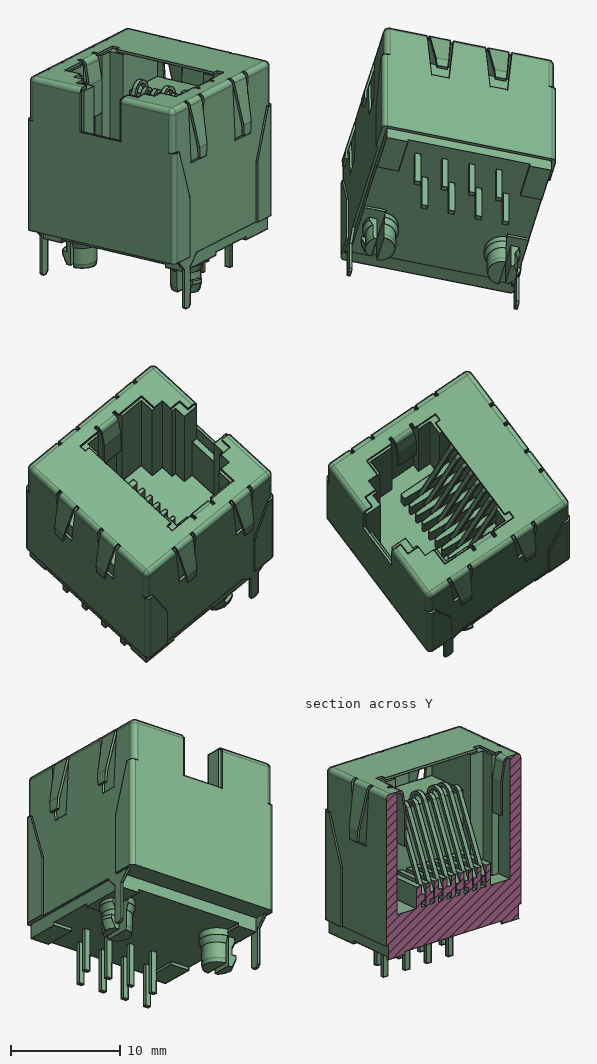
import cadquery as cq
import math


TOP = 20.3
SHIELD_BOTTOM = 5.3
SHIELD_WIDTH = 16.02
HALF = SHIELD_WIDTH / 2
BEND_RADIUS = 0.5
SHEET = 0.25
INNER_BEND_RADIUS = BEND_RADIUS - SHEET
SHEET_UNDERSIDE = TOP - SHEET
HOUSING_HALF = HALF - SHEET

WRAP_HALF = 8.2
WRAP_RADIUS = 0.43
WRAP_TOP = 16.05
WRAP_SHOULDER_Z = 11.15
WRAP_TOP_Y = 7.25
WRAP_EDGE_Y = 5.52

SPRING_REACH = 0.8
SPRING_BEND_Z = 15.87
SPRING_TIP_Z = 14.78
SPRING_ROOT_HALF = 1.0
SPRING_TIP_HALF = 0.5
SPRING_SLOT_BOTTOM = 14.3
SLOT_ROOT_HALF = 1.28
SLOT_TIP_HALF = 0.83
SIDE_SPRING_Y = (2.98, -4.2)
BACK_SPRING_X = 2.76

WINDOW_HALF = 2.25
LATCH_SLOT_FLOOR = 14.2
SILL_BACK_Y = -7.2
CAVITY_FLOOR = 8.12
CAVITY_HALF = 5.9
KEY_HALF = 1.97
POCKET_HALF = 4.45
POCKET_BACK_Y = 3.25
SHELF_Z = 16.22

GRIP_SLOT_HALF_WIDTH = 1.28
GRIP_HALF_WIDTH = 1.02
GRIP_POCKET_HALF_WIDTH = 1.48
GRIP_Y = -0.6
GRIP_SLOT_X = 6.68
GRIP_ROOT_X = 6.41
GRIP_BEND_X = 5.58
GRIP_BEND_Z = 17.97
GRIP_TIP_Z = 14.65

CONTACT_COUNT = 8
CONTACT_PITCH = 1.02
CONTACT_WIDTH = 0.43
CONTACT_THICKNESS = 0.3
LOW_ARCH_RADIUS = 0.65
HIGH_ARCH_RADIUS = 1.02
HIGH_CONTACTS = (0, 3, 5, 6)
HIGH_ARCH_Y = 3.61
CONTACT_ARCH_Z = 16.3
CONTACT_SLOPE = math.radians(65)
CONTACT_END_Y = -0.77
COMB_TOP = 10.25
COMB_FRONT_Y = -2.15
COMB_SLOT_HALF = 0.25
COMB_MOUTH_HALF = 0.35
COMB_TIP_RADIUS = 0.12

BASE_BOTTOM = 4.18
FOOT_BOTTOM = 3.88
FOOT_INNER_X = 5.75
BASE_FRONT_Y = -5.89
FOOT_SPANS_Y = ((4.25, HOUSING_HALF), (BASE_FRONT_Y, -0.6))
PIN_PITCH = 1.28
PIN_WIDTH = 0.55
PIN_DEPTH = 0.39
PIN_ROWS_Y = (3.74, 6.25)
TAB_Y = -5.65
TAB_HALF = 0.47
TAB_ROOT_HALF = 1.55
TAB_NECK_Z = 4.2
TAB_TIP_Z = 0.28
TAB_CHAMFER = 0.25

PEG_X = FOOT_INNER_X
PEG_Y = -2.6
PEG_RADIUS = 1.65
PEG_NECK_RADIUS = 1.4
PEG_TIP_RADIUS = 1.32
PEG_COLLAR_Z = 3.51
PEG_NECK_Z = 2.85
PEG_CHAMFER_Z = 1.28
PEG_BOTTOM = 0.87
PEG_SPLIT = 0.57
PEG_ARM_HALF = 1.02
HOOK_RADIUS = 1.77
HOOK_TOP = 2.13
HOOK_RIM_Z = 1.8


def block(x0, x1, y0, y1, z0, z1):
    """Box between two opposite corners."""
    return cq.Workplane("XY").box(x1 - x0, y1 - y0, z1 - z0, centered=False).translate((x0, y0, z0))


def mirrored(points):
    """Close a half outline with its mirror image in the first coordinate."""
    return points + [(-x, y) for x, y in reversed(points)]


def prism(points, z0, z1):
    """Extrude an XY outline between two heights."""
    return cq.Workplane("XY").workplane(offset=z0).polyline(points).close().extrude(z1 - z0)


def both_sides(solid):
    """Add the mirror image on the other side of X = 0."""
    return solid.union(solid.mirror("YZ"))


def make_shield():
    """Rounded shield block with wraps around its four vertical corners."""
    height = TOP - SHIELD_BOTTOM
    shell = cq.Workplane("XY").box(SHIELD_WIDTH, SHIELD_WIDTH, height, centered=(True, True, False))
    shell = shell.edges("|Z or >Z").fillet(BEND_RADIUS).translate((0, 0, SHIELD_BOTTOM))
    wraps = cq.Workplane("XY").box(2 * WRAP_HALF, SHIELD_WIDTH, height, centered=(True, True, False))
    wraps = wraps.edges("|Z").fillet(WRAP_RADIUS).translate((0, 0, SHIELD_BOTTOM))
    front_outline = [
        (-HALF, SHIELD_BOTTOM),
        (-HALF, WRAP_TOP),
        (-WRAP_TOP_Y, WRAP_TOP),
        (-WRAP_EDGE_Y, WRAP_SHOULDER_Z),
        (-WRAP_EDGE_Y, SHIELD_BOTTOM),
    ]
    front = cq.Workplane("YZ").polyline(front_outline).close().extrude(WRAP_HALF, both=True)
    return shell.union(wraps.intersect(front.union(front.mirror("XZ"))))


def spring_taper(root_half, tip_half, tip_z):
    """Tapered slab, wide at the top, that trims a spring or its slot; it reaches out along +X."""
    inner_x = HALF - BEND_RADIUS
    outline = mirrored([(root_half, TOP), (tip_half, tip_z)])
    slab = cq.Workplane("YZ").workplane(offset=inner_x).polyline(outline).close()
    return slab.extrude(BEND_RADIUS + SPRING_REACH)


def make_spring():
    """Spring flaring out along +X from the rounded top edge, with a vertical tip."""
    centre_x = HALF - BEND_RADIUS
    centre_z = TOP - BEND_RADIUS
    outer_x = HALF + SPRING_REACH
    run = outer_x - centre_x
    drop = SPRING_BEND_Z - centre_z
    flare = math.atan2(drop, run) + math.acos(BEND_RADIUS / math.hypot(run, drop))
    middle = (math.pi / 2 + flare) / 2

    def on_bend(radius, angle):
        return (centre_x + radius * math.cos(angle), centre_z + radius * math.sin(angle))

    spring = (
        cq.Workplane("XZ")
        .moveTo(centre_x, TOP)
        .threePointArc(on_bend(BEND_RADIUS, middle), on_bend(BEND_RADIUS, flare))
        .lineTo(outer_x, SPRING_BEND_Z)
        .lineTo(outer_x, SPRING_TIP_Z)
        .lineTo(outer_x - SHEET, SPRING_TIP_Z)
        .lineTo(outer_x - SHEET, SPRING_BEND_Z)
        .lineTo(*on_bend(INNER_BEND_RADIUS, flare))
        .threePointArc(on_bend(INNER_BEND_RADIUS, middle), (centre_x, SHEET_UNDERSIDE))
        .close()
        .extrude(SPRING_ROOT_HALF, both=True)
    )
    return spring.intersect(spring_taper(SPRING_ROOT_HALF, SPRING_TIP_HALF, SPRING_TIP_Z))


def add_springs(body):
    """Cut the spring slots down to the housing and set a spring in each of them."""
    core = block(-HOUSING_HALF, HOUSING_HALF, -HOUSING_HALF, HOUSING_HALF, SHIELD_BOTTOM, SHEET_UNDERSIDE)
    core = core.edges(">Z").fillet(INNER_BEND_RADIUS)
    slot = spring_taper(SLOT_ROOT_HALF, SLOT_TIP_HALF, SPRING_SLOT_BOTTOM).cut(core)
    spring = make_spring()
    places = [(0, y) for y in SIDE_SPRING_Y]
    places += [(180, -y) for y in SIDE_SPRING_Y]
    places += [(90, -BACK_SPRING_X), (90, BACK_SPRING_X)]
    for angle, offset in places:
        placed_slot = slot.translate((0, offset, 0)).rotate((0, 0, 0), (0, 0, 1), angle)
        placed_spring = spring.translate((0, offset, 0)).rotate((0, 0, 0), (0, 0, 1), angle)
        body = body.cut(placed_slot).union(placed_spring)
    return body


def cut_mouth(body):
    """Open the top panel, the plug cavity, the front window and the grip pockets."""
    panel_opening = mirrored([
        (5.45, 2.48), (5.45, 2.96), (6.15, 2.96), (6.15, -4.77), (POCKET_HALF, -4.77),
        (POCKET_HALF, -5.79), (3.37, -5.79), (3.37, -6.95), (WINDOW_HALF, -6.95), (WINDOW_HALF, -HALF),
    ])
    cavity = mirrored([
        (POCKET_HALF, POCKET_BACK_Y), (POCKET_HALF, 2.2), (CAVITY_HALF, 2.2), (CAVITY_HALF, -4.5),
        (POCKET_HALF, -4.5), (POCKET_HALF, -5.79), (3.15, -5.79), (3.15, -6.21),
        (KEY_HALF, -6.21), (KEY_HALF, SILL_BACK_Y),
    ])
    body = body.cut(prism(cavity, CAVITY_FLOOR, SHEET_UNDERSIDE))
    body = body.cut(prism(panel_opening, SHEET_UNDERSIDE, TOP))
    loft = block(-POCKET_HALF, POCKET_HALF, 0, HOUSING_HALF, SHELF_Z, SHEET_UNDERSIDE)
    body = body.cut(loft.edges(">Y and >Z").fillet(INNER_BEND_RADIUS))
    body = body.cut(block(-KEY_HALF, KEY_HALF, -HOUSING_HALF, SILL_BACK_Y, LATCH_SLOT_FLOOR, SHEET_UNDERSIDE))
    body = body.cut(block(-WINDOW_HALF, WINDOW_HALF, -HALF, -HOUSING_HALF, WRAP_TOP, TOP))
    pocket_y = (GRIP_Y - GRIP_POCKET_HALF_WIDTH, GRIP_Y + GRIP_POCKET_HALF_WIDTH)
    slot_y = (GRIP_Y - GRIP_SLOT_HALF_WIDTH, GRIP_Y + GRIP_SLOT_HALF_WIDTH)
    body = body.cut(both_sides(block(POCKET_HALF, GRIP_SLOT_X, *pocket_y, CAVITY_FLOOR, SHEET_UNDERSIDE)))
    return body.cut(both_sides(block(POCKET_HALF, GRIP_SLOT_X, *slot_y, SHEET_UNDERSIDE, TOP)))


def make_grips():
    """Pair of tongues that roll over the mouth edge, slant inwards and then hang straight."""
    roll_x = GRIP_ROOT_X - BEND_RADIUS
    roll_z = TOP - BEND_RADIUS

    def on_roll(radius):
        reach = radius * math.cos(math.pi / 4)
        return (GRIP_ROOT_X - reach, roll_z + reach)

    grip = (
        cq.Workplane("XZ")
        .moveTo(GRIP_SLOT_X, TOP)
        .lineTo(GRIP_ROOT_X, TOP)
        .threePointArc(on_roll(BEND_RADIUS), (roll_x, roll_z))
        .lineTo(GRIP_BEND_X, GRIP_BEND_Z)
        .lineTo(GRIP_BEND_X, GRIP_TIP_Z)
        .lineTo(GRIP_BEND_X + SHEET, GRIP_TIP_Z)
        .lineTo(GRIP_BEND_X + SHEET, GRIP_BEND_Z)
        .lineTo(roll_x + SHEET, roll_z)
        .threePointArc(on_roll(INNER_BEND_RADIUS), (GRIP_ROOT_X, SHEET_UNDERSIDE))
        .lineTo(GRIP_SLOT_X, SHEET_UNDERSIDE)
        .close()
        .extrude(GRIP_HALF_WIDTH, both=True)
        .translate((0, GRIP_Y, 0))
    )
    return both_sides(grip)


def row(count, pitch):
    """Centred, evenly spaced positions."""
    return [(index - (count - 1) / 2) * pitch for index in range(count)]


def make_comb():
    """Block at the foot of the pocket, slotted for the contact ends."""
    comb = block(-POCKET_HALF, POCKET_HALF, COMB_FRONT_Y, POCKET_BACK_Y, CAVITY_FLOOR, COMB_TOP)
    slot_outline = mirrored([
        (COMB_SLOT_HALF, POCKET_BACK_Y), (COMB_SLOT_HALF, CONTACT_END_Y), (COMB_MOUTH_HALF, COMB_FRONT_Y),
    ])
    slot = prism(slot_outline, CAVITY_FLOOR, COMB_TOP)
    for x in row(CONTACT_COUNT, CONTACT_PITCH):
        comb = comb.cut(slot.translate((x, 0, 0)))
    tips = cq.selectors.BoxSelector(
        (0.2 - POCKET_HALF, COMB_FRONT_Y - 0.2, CAVITY_FLOOR), (POCKET_HALF - 0.2, COMB_FRONT_Y + 0.2, COMB_TOP)
    )
    return comb.edges("|Z").edges(tips).fillet(COMB_TIP_RADIUS)


def make_contact(outer_radius):
    """Wire that rises from the shelf, arches over and slopes down towards the front."""
    inner_radius = outer_radius - CONTACT_THICKNESS
    arch_y = HIGH_ARCH_Y - (HIGH_ARCH_RADIUS - outer_radius) / math.sin(CONTACT_SLOPE)
    tangent = math.pi / 2 + CONTACT_SLOPE

    def on_arch(radius, angle):
        return (arch_y + radius * math.cos(angle), CONTACT_ARCH_Z + radius * math.sin(angle))

    def at_end(radius):
        y, z = on_arch(radius, tangent)
        return (CONTACT_END_Y, z - (y - CONTACT_END_Y) * math.tan(CONTACT_SLOPE))

    root_z = SHELF_Z - CONTACT_THICKNESS
    return (
        cq.Workplane("YZ")
        .moveTo(arch_y + outer_radius, root_z)
        .lineTo(arch_y + outer_radius, CONTACT_ARCH_Z)
        .threePointArc(on_arch(outer_radius, tangent / 2), on_arch(outer_radius, tangent))
        .lineTo(*at_end(outer_radius))
        .lineTo(*at_end(inner_radius))
        .lineTo(*on_arch(inner_radius, tangent))
        .threePointArc(on_arch(inner_radius, tangent / 2), on_arch(inner_radius, 0))
        .lineTo(arch_y + inner_radius, root_z)
        .close()
        .extrude(CONTACT_WIDTH / 2, both=True)
    )


def make_contacts():
    """Row of contacts mixing high and low arches at one common height."""
    contacts = cq.Workplane("XY")
    for index, x in enumerate(row(CONTACT_COUNT, CONTACT_PITCH)):
        arch_radius = HIGH_ARCH_RADIUS if index in HIGH_CONTACTS else LOW_ARCH_RADIUS
        contacts = contacts.add(make_contact(arch_radius).translate((x, 0, 0)))
    return contacts.combine()


def make_base():
    """Housing underside with shallow feet along both sides."""
    base = block(-HOUSING_HALF, HOUSING_HALF, BASE_FRONT_Y, HOUSING_HALF, BASE_BOTTOM, SHIELD_BOTTOM)
    for y0, y1 in FOOT_SPANS_Y:
        foot = block(FOOT_INNER_X, HOUSING_HALF, y0, y1, FOOT_BOTTOM, BASE_BOTTOM)
        base = base.union(both_sides(foot))
    return base


def make_ground_tabs():
    """Tapering tabs that carry the side panels down into solder legs."""
    outline = mirrored([
        (TAB_ROOT_HALF, SHIELD_BOTTOM), (TAB_HALF, TAB_NECK_Z),
        (TAB_HALF, TAB_TIP_Z + TAB_CHAMFER), (TAB_HALF - TAB_CHAMFER, TAB_TIP_Z),
    ])
    tab = cq.Workplane("YZ").workplane(offset=HOUSING_HALF).polyline(outline).close().extrude(SHEET)
    return both_sides(tab.translate((0, TAB_Y, 0)))


def make_pegs():
    """Split round pegs: a solid inner half and a narrower, hooked outer arm."""
    profile = [
        (0, BASE_BOTTOM), (PEG_RADIUS, BASE_BOTTOM), (PEG_RADIUS, PEG_COLLAR_Z),
        (PEG_NECK_RADIUS, PEG_NECK_Z), (PEG_NECK_RADIUS, PEG_CHAMFER_Z),
        (PEG_TIP_RADIUS, PEG_BOTTOM), (0, PEG_BOTTOM),
    ]
    hook_profile = [
        (0, HOOK_TOP), (HOOK_RADIUS, HOOK_TOP), (HOOK_RADIUS, HOOK_RIM_Z),
        (PEG_NECK_RADIUS, PEG_BOTTOM), (0, PEG_BOTTOM),
    ]
    round_peg = cq.Workplane("XZ").polyline(profile).close().revolve(360, (0, 0), (0, 1))
    hook = cq.Workplane("XZ").polyline(hook_profile).close().revolve(360, (0, 0), (0, 1))
    inner_zone = block(-PEG_RADIUS, 0, -PEG_RADIUS, PEG_RADIUS, 0, BASE_BOTTOM)
    arm_zone = block(PEG_SPLIT, HOOK_RADIUS, -PEG_ARM_HALF, PEG_ARM_HALF, 0, BASE_BOTTOM)
    hook_zone = block(PEG_SPLIT, HOOK_RADIUS, -PEG_ARM_HALF, 0, 0, BASE_BOTTOM)
    peg = round_peg.intersect(inner_zone)
    peg = peg.union(round_peg.intersect(arm_zone))
    peg = peg.union(hook.intersect(hook_zone))
    return both_sides(peg.translate((PEG_X, PEG_Y, 0)))


def make_pins():
    """Solder pins in two staggered rows."""
    pins = cq.Workplane("XY")
    for index, x in enumerate(row(CONTACT_COUNT, PIN_PITCH)):
        y = PIN_ROWS_Y[index % 2]
        pin = cq.Workplane("XY").box(PIN_WIDTH, PIN_DEPTH, SHIELD_BOTTOM, centered=(True, True, False))
        pins = pins.add(pin.translate((x, y, 0)))
    return pins.combine()


result = cut_mouth(add_springs(make_shield()))
result = result.union(make_comb()).union(make_grips()).union(make_contacts())
result = result.union(make_base()).union(make_ground_tabs()).union(make_pegs()).union(make_pins())